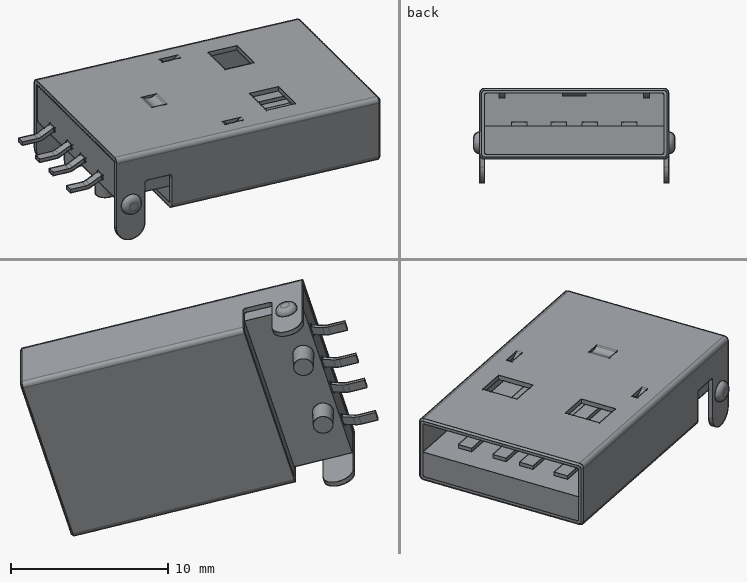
import cadquery as cq
import math


OVERALL_LENGTH = 20.85

SHELL_WIDTH = 12.0
SHELL_LENGTH = 18.66
SHELL_HEIGHT = 4.5
SHEET = 0.31
OUTER_BEND = 0.31
INNER_BEND = 0.1
LIP_CHAMFER = 0.13
INNER_WIDTH = SHELL_WIDTH - 2 * SHEET

TAB_LENGTH = 2.0
TAB_BOTTOM = -6.0
NOTCH_END = 3.9
NOTCH_TOP = -2.0
NOTCH_CORNER = 0.17

RIVET_DIAMETER = 1.4
RIVET_HEIGHT = 0.4
RIVET_Y = 1.02
RIVET_Z = -3.46

WINDOW_X = 3.02
WINDOW_Y = 12.45
WINDOW_WIDTH = 2.5
WINDOW_LENGTH = 2.05

DENT_RADIUS = 0.75
DENT_LIP = 0.13
SIDE_DENT_X = 4.59
SIDE_DENT_Y = 8.88
SIDE_DENT_WIDTH = 0.4
SIDE_DENT_LENGTH = 1.35
CENTER_DENT_Y = 5.55
CENTER_DENT_WIDTH = 1.5
CENTER_DENT_LENGTH = 1.1

BLOCK_BACK = 0.06
BLOCK_BOTTOM = -2.98
TONGUE_TOP = -2.4
PEG_DIAMETER = 1.35
PEG_DRAFT_ANGLE = 2.0
PEG_X = 2.25
PEG_Y = TAB_LENGTH / 2

TERMINAL_X = (-3.5, -0.98, 0.98, 3.5)
STRIP = 0.25
CONTACT_WIDTH = 0.98
SHOULDER_WIDTH = 0.77
TAIL_WIDTH = 0.58
CONTACT_END = 17.1
SHOULDER_END = 0.0
TAIL_END = SHELL_LENGTH - OVERALL_LENGTH
TAIL_BOTTOM = BLOCK_BOTTOM
TAIL_BEND_Y = -1.08
BEND_RADIUS = 0.69
SLOPE_ANGLE = math.radians(27)


def block(x_range, y_range, z_range):
    """An upright box between the given limits."""
    (x0, x1), (y0, y1), (z0, z1) = x_range, y_range, z_range
    return cq.Workplane("XY").box(x1 - x0, y1 - y0, z1 - z0, centered=False).translate((x0, y0, z0))


def centered_block(width, y_range, z_range):
    """A box that is symmetric about X = 0."""
    return block((-width / 2, width / 2), y_range, z_range)


def make_tube():
    """The rectangular sheet tube, with rounded folds and a chamfered mating end."""
    outer = centered_block(SHELL_WIDTH, (0, SHELL_LENGTH), (-SHELL_HEIGHT, 0))
    outer = outer.edges("|Y").fillet(OUTER_BEND).faces(">Y").chamfer(LIP_CHAMFER)
    inner = centered_block(INNER_WIDTH, (0, SHELL_LENGTH), (SHEET - SHELL_HEIGHT, -SHEET))
    return outer.cut(inner.edges("|Y").fillet(INNER_BEND))


def make_rivet():
    """A round head along +X, with its rim rounded over the full height."""
    radius = RIVET_DIAMETER / 2
    flat_radius = radius - RIVET_HEIGHT
    diagonal = RIVET_HEIGHT * math.sin(math.radians(45))
    return (
        cq.Workplane("XY")
        .lineTo(0, radius)
        .threePointArc((diagonal, flat_radius + diagonal), (RIVET_HEIGHT, flat_radius))
        .lineTo(RIVET_HEIGHT, 0)
        .close()
        .revolve(360, (0, 0), (1, 0))
    )


def make_tab(side):
    """One mounting tab with a round end and a rivet-shaped bump; side is -1 or 1."""
    end_radius = TAB_LENGTH / 2
    plate = (
        cq.Workplane("YZ", origin=(SHELL_WIDTH / 2 - SHEET, 0, 0))
        .moveTo(0, NOTCH_TOP)
        .lineTo(0, TAB_BOTTOM + end_radius)
        .threePointArc((end_radius, TAB_BOTTOM), (TAB_LENGTH, TAB_BOTTOM + end_radius))
        .lineTo(TAB_LENGTH, NOTCH_TOP)
        .close()
        .extrude(SHEET)
    )
    tab = plate.union(make_rivet().translate((SHELL_WIDTH / 2, RIVET_Y, RIVET_Z)))
    return tab if side > 0 else tab.mirror("YZ")


def dent_depths(length):
    """Half angle of a dent's arc, the drop of its lips and its full depth."""
    angle = math.asin((length / 2 - DENT_LIP) / DENT_RADIUS)
    lip_drop = DENT_LIP * math.tan(angle / 2)
    return angle, lip_drop, lip_drop + DENT_RADIUS * (1 - math.cos(angle))


def make_dent_space(width, length):
    """The space above a dent's surface, centred on the origin."""
    angle, lip_drop, depth = dent_depths(length)
    half = length / 2
    half_chord = half - DENT_LIP
    lip_radius = DENT_LIP / math.sin(angle)
    lip_middle_y = half - lip_radius * math.sin(angle / 2)
    lip_middle_z = lip_radius * (math.cos(angle / 2) - 1)
    return (
        cq.Workplane("YZ", origin=(-width / 2, 0, 0))
        .moveTo(-half, 0)
        .threePointArc((-lip_middle_y, lip_middle_z), (-half_chord, -lip_drop))
        .threePointArc((0, -depth), (half_chord, -lip_drop))
        .threePointArc((lip_middle_y, lip_middle_z), (half, 0))
        .close()
        .extrude(width)
    )


def make_dent_bulge(width, length):
    """The sheet pushed below the roof by a dent, centred on the origin."""
    depth = dent_depths(length)[2]
    return (
        cq.Workplane("YZ", origin=(-width / 2, 0, 0))
        .moveTo(-length / 2, -SHEET)
        .threePointArc((0, -SHEET - depth), (length / 2, -SHEET))
        .close()
        .extrude(width)
    )


def make_shell():
    """The complete shell: tube, tabs, notches, windows and dents."""
    shell = make_tube().cut(centered_block(SHELL_WIDTH, (0, TAB_LENGTH), (TAB_BOTTOM, NOTCH_TOP)))
    for side in (-1, 1):
        shell = shell.union(make_tab(side))
    notch = centered_block(SHELL_WIDTH, (TAB_LENGTH, NOTCH_END), (TAB_BOTTOM, NOTCH_TOP))
    shell = shell.cut(notch.edges("|X and >Z").fillet(NOTCH_CORNER))

    for x in (-WINDOW_X, WINDOW_X):
        window = cq.Workplane("XY").box(WINDOW_WIDTH, WINDOW_LENGTH, 2 * SHEET)
        shell = shell.cut(window.translate((x, WINDOW_Y, -SHEET)))

    dents = [(0, CENTER_DENT_Y, CENTER_DENT_WIDTH, CENTER_DENT_LENGTH)]
    dents += [(x, SIDE_DENT_Y, SIDE_DENT_WIDTH, SIDE_DENT_LENGTH) for x in (-SIDE_DENT_X, SIDE_DENT_X)]
    for x, y, width, length in dents:
        shell = shell.union(make_dent_bulge(width, length).translate((x, y, 0)))
        shell = shell.cut(make_dent_space(width, length).translate((x, y, 0)))
    return shell


def make_strip_profile():
    """Side outline of a terminal: level contact, bend down, slope, bend back, level tail."""
    half = STRIP / 2
    contact_z = TONGUE_TOP + half
    tail_z = TAIL_BOTTOM + half
    sine = math.sin(SLOPE_ANGLE)
    cosine = math.cos(SLOPE_ANGLE)
    slope_length = (contact_z - tail_z - 2 * BEND_RADIUS * (1 - cosine)) / sine
    upper_y = TAIL_BEND_Y + 2 * BEND_RADIUS * sine + slope_length * cosine

    def upper_bend(radius, angle):
        return upper_y - radius * math.sin(angle), contact_z - BEND_RADIUS + radius * math.cos(angle)

    def lower_bend(radius, angle):
        return TAIL_BEND_Y + radius * math.sin(angle), tail_z + BEND_RADIUS - radius * math.cos(angle)

    outside = BEND_RADIUS + half
    inside = BEND_RADIUS - half
    middle = SLOPE_ANGLE / 2
    return (
        cq.Workplane("YZ")
        .moveTo(CONTACT_END, contact_z + half)
        .lineTo(*upper_bend(outside, 0))
        .threePointArc(upper_bend(outside, middle), upper_bend(outside, SLOPE_ANGLE))
        .lineTo(*lower_bend(inside, SLOPE_ANGLE))
        .threePointArc(lower_bend(inside, middle), lower_bend(inside, 0))
        .lineTo(TAIL_END, tail_z + half)
        .lineTo(TAIL_END, tail_z - half)
        .lineTo(*lower_bend(outside, 0))
        .threePointArc(lower_bend(outside, middle), lower_bend(outside, SLOPE_ANGLE))
        .lineTo(*upper_bend(inside, SLOPE_ANGLE))
        .threePointArc(upper_bend(inside, middle), upper_bend(inside, 0))
        .lineTo(CONTACT_END, contact_z - half)
        .close()
    )


def make_terminal(x):
    """One terminal: the bent strip, trimmed to the width of its contact, shoulder and tail."""
    blank = make_strip_profile().extrude(CONTACT_WIDTH / 2, both=True)
    full_height = (-SHELL_HEIGHT, 0)
    widths = centered_block(CONTACT_WIDTH, (NOTCH_END, CONTACT_END), full_height)
    widths = widths.union(centered_block(SHOULDER_WIDTH, (SHOULDER_END, NOTCH_END), full_height))
    widths = widths.union(centered_block(TAIL_WIDTH, (TAIL_END, SHOULDER_END), full_height))
    return blank.intersect(widths).translate((x, 0, 0))


def make_insulator(terminals):
    """The insulator, with a passage through its rear block for every terminal."""
    insulator = centered_block(INNER_WIDTH, (BLOCK_BACK, NOTCH_END), (BLOCK_BOTTOM, -SHEET))
    tongue = centered_block(INNER_WIDTH, (NOTCH_END, SHELL_LENGTH), (SHEET - SHELL_HEIGHT, TONGUE_TOP))
    insulator = insulator.edges("|Y and >Z").fillet(INNER_BEND)
    insulator = insulator.union(tongue.edges("|Y and <Z").fillet(INNER_BEND))
    for x in (-PEG_X, PEG_X):
        peg = cq.Workplane("XY", origin=(x, PEG_Y, BLOCK_BOTTOM)).circle(PEG_DIAMETER / 2)
        insulator = insulator.union(peg.extrude(-SHELL_HEIGHT - BLOCK_BOTTOM, taper=PEG_DRAFT_ANGLE))
    for terminal in terminals:
        insulator = insulator.cut(terminal)
    return insulator


shell = make_shell()
terminals = [make_terminal(x) for x in TERMINAL_X]
insulator = make_insulator(terminals)

result = cq.Compound.makeCompound(
    [shell.val(), insulator.val(), *[terminal.val() for terminal in terminals]]
)